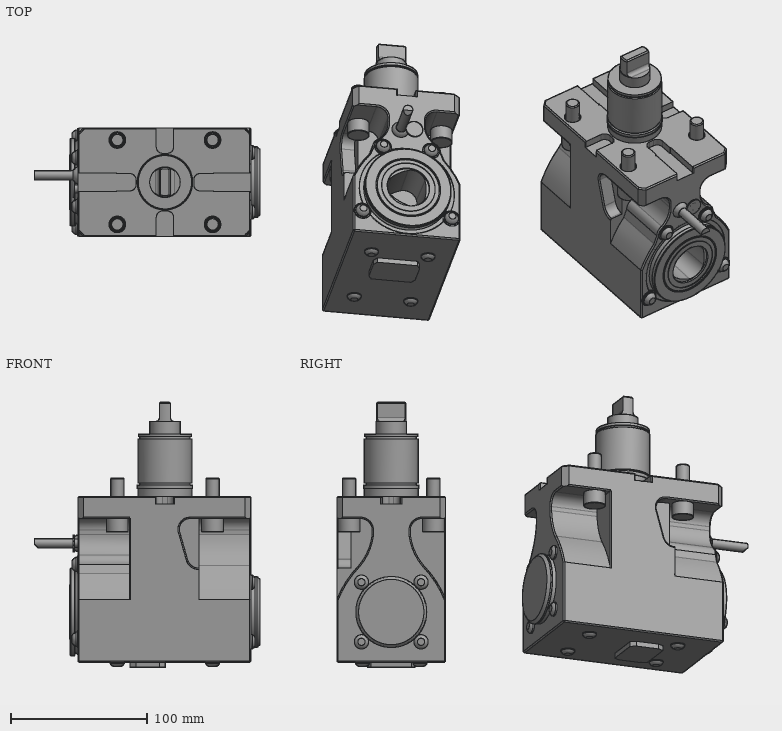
import cadquery as cq
import math

left_x = -64.0
right_x = 63.2
width_y = 80.0
half_y = width_y / 2
block_bottom_z = -122.0
flange_edge_z = -15.3
edge_chamfer = 1.0
flange_corner_chamfer = 4.3

pocket_mouth_x = 25.2
pocket_top_z = flange_edge_z - edge_chamfer
pocket_corner_radius = 8.6
neck_half_y = 14.0
neck_arc_start_z = -28.1
flank_start = (23.8, -50.8)
flank_middle = (33.0, -62.3)
flank_bottom_z = -75.8
neck_arc_middle = (17.3, -40.4)
left_neck_arc_middle = (15.9, -37.1)
left_flank_start = (28.0, -56.6)
left_flank_middle = (34.8, -65.7)

spindle_z = -85.0
cover_radius = 32.2
cover_back_radius = 29.8
cover_inner_x = -66.1
cover_outer_x = -69.6
cover_groove_radius = 35.5
cover_groove_depth = 1.0
cover_edge_chamfer = 0.5
ring_radius = 20.0
ring_outer_x = -70.2
seal_groove_outer_radius = 24.1
seal_groove_inner_radius = 23.2
seal_groove_depth = 0.5
mouth_diameter = 31.5
mouth_depth = 1.5
polygon_mean_radius = 14.6
polygon_lobe = 1.1
polygon_shrink = 1.0
polygon_depth = 30.0

button_diameter = 10.5
button_flat_diameter = 5.3
button_shoulder_width = 0.8
button_shoulder_rise = 0.6
cover_button_rim = 0.9
cover_button_dome = 3.1
cap_button_rim = 1.1
cap_button_dome = 2.0
bottom_button_rim = 0.8
bottom_button_dome = 2.3
washer_diameter = 12.5
washer_thickness = 0.4
cover_screws = [(17.9, -50.0), (33.2, -105.0)]
screw_relief_radius = 7.5
screw_relief_start_angle = 65

bolt_x = 35.0
bolt_y = 31.0
bolt_diameter = 10.0
bolt_top_z = 13.6
bolt_hole_diameter = 11.0
bolt_hole_mouth_diameter = 12.2
bolt_hole_depth = 2.5
bolt_head_diameter = 16.0
bolt_head_height = 10.0
bolt_chamfer = 0.8

slot_depth = 5.5
slot_start = 21.2
slot_end_flat = 3.4
slot_width = 12.8
slot_outer_width = 13.9
slot_flare = 0.8
side_slot_width = 12.6
slot_step_x = 35.6

shank_radius = 19.9
shank_collar_radius = 19.6
shank_groove_radius = 18.55
seal_radius = 20.4
seal_bottom_z = 5.6
seal_top_z = 8.2
shank_body_bottom_z = 9.7
shank_body_top_z = 42.3
shank_collar_bottom_z = 43.9
shank_root_depth = 1.0
shank_top_z = 45.8
neck_radius = 11.25
neck_top_z = 55.0
tang_radius = 10.85
tang_thickness = 8.2
tang_fillet = 3.0
tang_top_z = 69.3

cap_radius = 26.1
cap_base_radius = 25.5
cap_tip_radius = 24.0
cap_step_x = 66.3
cap_cone_x = 67.7
cap_outer_x = 70.0
cap_screw_offset = 21.9

tube_y = 5.0
tube_z = -34.5
tube_diameter = 7.0
tube_end_x = -96.0
tube_end_cut = 2.8
gland_diameter = 12.5
gland_outer_x = -67.5
gland_clearance = 0.3
gland_shoulder_length = 2.2
gland_shoulder_radius = 5.2
plug_stem_diameter = 6.2
plug_head_thickness = 1.0

plate_left_x = -25.7
plate_right_x = 0.3
plate_half_y = 17.3
plate_corner_x = 4.3
plate_corner_y = 2.3
plate_bottom_z = -125.7
bottom_screw_y = 21.1

recess_depth = 10.5
recess_bottom_z = -53.7
recess_upper_arc = [(18.3, flange_edge_z), (11.6, -18.6), (9.6, -25.5)]
recess_lower_arc = [(15.6, -46.5), (18.8, -51.6), (24.0, recess_bottom_z)]


def disc(radius, start_x, end_x, y=0.0, z=spindle_z):
    """Cylinder along X."""
    return (
        cq.Workplane("YZ", origin=(start_x, y, z))
        .circle(radius)
        .extrude(end_x - start_x)
    )


def button_head(base, direction, rim, dome):
    """Domed screw head standing on base and pointing along direction."""
    radius = button_diameter / 2
    flat = button_flat_diameter / 2
    height = rim + dome
    shoulder = (button_shoulder_width * radius, rim + button_shoulder_rise * dome)
    profile = (
        cq.Workplane("XZ")
        .moveTo(0, -edge_chamfer)
        .lineTo(radius, -edge_chamfer)
        .lineTo(radius, rim)
        .threePointArc(shoulder, (flat, height))
        .lineTo(0, height)
        .close()
    )
    head = profile.revolve(360, (0, 0, 0), (0, 1, 0)).val()
    plane = cq.Plane(origin=base, normal=direction)
    return cq.Workplane(obj=head.moved(cq.Location(plane)))


def has_recess(side_x, side_y):
    """The recessed pockets are front right and back left."""
    return side_x * side_y < 0


def pocket_wall_x(side_x, side_y):
    """A wall without a recess stands back by the bevel on its upright edge."""
    bevel = 0 if has_recess(side_x, side_y) else edge_chamfer
    return side_x * (pocket_mouth_x + bevel)


def pocket(side_x, side_y):
    """Pocket under the flange; the left one bulges around a cover screw."""
    bend = pocket_corner_radius * (1 - math.sqrt(0.5))
    outer_y = half_y + edge_chamfer
    flank_end = (side_y * half_y, flank_bottom_z)

    def mirrored(point):
        return (side_y * point[0], point[1])

    outline = (
        cq.Workplane("YZ")
        .moveTo(side_y * outer_y, pocket_top_z)
        .lineTo(side_y * (neck_half_y + pocket_corner_radius), pocket_top_z)
        .threePointArc(
            (side_y * (neck_half_y + bend), pocket_top_z - bend),
            (side_y * neck_half_y, pocket_top_z - pocket_corner_radius),
        )
        .lineTo(side_y * neck_half_y, neck_arc_start_z)
    )
    end_x = pocket_wall_x(side_x, side_y)
    if side_x < 0:
        screw_y, screw_z = cover_screws[0]

        def relief(angle):
            turn = math.radians(angle)
            relief_y = screw_y + screw_relief_radius * math.cos(turn)
            return (side_y * relief_y, screw_z + screw_relief_radius * math.sin(turn))

        outline = (
            outline.threePointArc(mirrored(left_neck_arc_middle), relief(screw_relief_start_angle))
            .threePointArc(relief(screw_relief_start_angle / 2), relief(0))
            .lineTo(*mirrored(left_flank_start))
            .threePointArc(mirrored(left_flank_middle), flank_end)
        )
        mouth_x = left_x
    else:
        outline = (
            outline.threePointArc(mirrored(neck_arc_middle), mirrored(flank_start))
            .threePointArc(mirrored(flank_middle), flank_end)
        )
        mouth_x = right_x
    outline = outline.lineTo(side_y * outer_y, flank_bottom_z).close()
    inward = math.copysign(edge_chamfer, end_x - mouth_x)
    body = outline.extrude(end_x - mouth_x)
    bevel = outline.toPending().offset2D(edge_chamfer).extrude(inward, taper=45)
    body = body.union(bevel)
    return body.translate((mouth_x, 0, 0))


def pocket_mouth_bevel(side_x, side_y):
    """Bevel along the pocket's top edge and, without a recess, its upright edge."""
    wall_x = pocket_wall_x(side_x, side_y)
    end_x = left_x if side_x < 0 else right_x
    face_y = side_y * half_y
    inset_y = side_y * (half_y - edge_chamfer)
    top = (
        cq.Workplane("YZ", origin=(wall_x, 0, 0))
        .moveTo(face_y, pocket_top_z)
        .lineTo(face_y, flange_edge_z)
        .lineTo(inset_y, pocket_top_z)
        .close()
        .extrude(end_x - wall_x)
    )
    if has_recess(side_x, side_y):
        return top
    upright = (
        cq.Workplane("XY", origin=(0, 0, flank_bottom_z))
        .moveTo(wall_x, face_y)
        .lineTo(wall_x - side_x * edge_chamfer, face_y)
        .lineTo(wall_x, inset_y)
        .close()
        .extrude(pocket_top_z - flank_bottom_z)
    )
    return upright.union(top)


def side_recess():
    """Bevelled wedge-shaped recess beside the right pocket of the front wall."""
    overlap_x = pocket_mouth_x + 2 * edge_chamfer
    mouth = (
        cq.Workplane("XZ", origin=(0, -half_y, 0))
        .moveTo(overlap_x, flange_edge_z)
        .lineTo(*recess_upper_arc[0])
        .threePointArc(*recess_upper_arc[1:])
        .lineTo(*recess_lower_arc[0])
        .threePointArc(*recess_lower_arc[1:])
        .lineTo(overlap_x, recess_bottom_z)
        .close()
    )
    bevel = mouth.extrude(-edge_chamfer, taper=45)
    return mouth.toPending().offset2D(-edge_chamfer).extrude(-recess_depth).union(bevel)


def flange_corner(x, y):
    """Triangular prism that bevels one upright corner of the flange."""
    return (
        cq.Workplane("XY", origin=(x, y, pocket_top_z))
        .lineTo(-math.copysign(flange_corner_chamfer, x), 0)
        .lineTo(0, -math.copysign(flange_corner_chamfer, y))
        .close()
        .extrude(-pocket_top_z)
    )


def housing():
    body = (
        cq.Workplane("XY", origin=((right_x + left_x) / 2, 0, block_bottom_z))
        .rect(right_x - left_x, width_y)
        .extrude(-block_bottom_z)
        .edges("|Z or <Z")
        .chamfer(edge_chamfer)
    )
    for y in (-half_y, half_y):
        for x in (left_x, right_x):
            body = body.cut(flange_corner(x, y))
    body = body.faces(">Z").edges().chamfer(edge_chamfer)
    for side_y in (-1, 1):
        for side_x in (-1, 1):
            body = body.cut(pocket(side_x, side_y))
            body = body.cut(pocket_mouth_bevel(side_x, side_y))
    recess = side_recess()
    opposite_recess = recess.rotate((0, 0, 0), (0, 0, 1), 180)
    return body.cut(recess).cut(opposite_recess)


def key_slot(angle):
    """Slot running outward from the shank, rounded at its inner end."""
    reach = right_x - left_x
    slot = (
        cq.Workplane("XY", origin=(slot_start + reach / 2, 0, -slot_depth))
        .rect(reach, slot_width)
        .extrude(slot_depth + edge_chamfer)
        .edges("|Z and <X")
        .fillet((slot_width - slot_end_flat) / 2)
    )
    return slot.rotate((0, 0, 0), (0, 0, 1), angle)


def slot_mouth(angle, start, end, width):
    """Parallel slot length whose outer end flares where it meets the side."""
    half_width = width / 2
    mouth = (
        cq.Workplane("XY", origin=(0, 0, -slot_depth))
        .moveTo(start, -half_width)
        .lineTo(end - slot_flare, -half_width)
        .lineTo(end, -half_width - slot_flare)
        .lineTo(end, half_width + slot_flare)
        .lineTo(end - slot_flare, half_width)
        .lineTo(start, half_width)
        .close()
        .extrude(slot_depth + edge_chamfer)
    )
    return mouth.rotate((0, 0, 0), (0, 0, 1), angle)


def cut_key_slots(body):
    ends = [(0, right_x), (180, -left_x), (90, half_y), (270, half_y)]
    for angle, end in ends:
        body = body.cut(key_slot(angle))
        if end > half_y:
            body = body.cut(slot_mouth(angle, slot_step_x, end, slot_outer_width))
        else:
            body = body.cut(slot_mouth(angle, end - 2 * slot_flare, end, side_slot_width))
    return body


def add_clamping_bolts(body):
    hole_chamfer = (bolt_hole_mouth_diameter - bolt_hole_diameter) / 2
    hole = (
        cq.Workplane("XY", origin=(0, 0, -bolt_hole_depth))
        .circle(bolt_hole_diameter / 2)
        .extrude(bolt_hole_depth)
    )
    hole_mouth = (
        cq.Workplane("XY")
        .circle(bolt_hole_mouth_diameter / 2)
        .workplane(offset=-hole_chamfer)
        .circle(bolt_hole_diameter / 2)
        .loft()
    )
    shaft = (
        cq.Workplane("XY", origin=(0, 0, pocket_top_z))
        .circle(bolt_diameter / 2)
        .extrude(bolt_top_z - pocket_top_z)
        .faces(">Z")
        .chamfer(bolt_chamfer)
    )
    head = (
        cq.Workplane("XY", origin=(0, 0, pocket_top_z - bolt_head_height))
        .circle(bolt_head_diameter / 2)
        .extrude(bolt_head_height)
        .faces("<Z")
        .chamfer(bolt_chamfer / 2)
    )
    for x in (-bolt_x, bolt_x):
        for y in (-bolt_y, bolt_y):
            place = (x, y, 0)
            body = body.cut(hole.union(hole_mouth).translate(place))
            body = body.union(shaft.union(head).translate(place))
    return body


def shank():
    """Stepped shank with a seal ring, a groove and a flat drive tang."""
    steps = [
        (shank_radius, seal_bottom_z),
        (seal_radius, seal_top_z),
        (shank_groove_radius, shank_body_bottom_z),
        (shank_radius, shank_body_top_z),
        (shank_groove_radius, shank_collar_bottom_z),
        (shank_collar_radius, shank_top_z),
        (neck_radius, neck_top_z),
    ]
    body = None
    bottom_z = -shank_root_depth
    for radius, top_z in steps:
        step = cq.Workplane("XY", origin=(0, 0, bottom_z)).circle(radius).extrude(top_z - bottom_z)
        body = step if body is None else body.union(step)
        bottom_z = top_z
    return body.union(drive_tang())


def drive_tang():
    half = tang_thickness / 2
    bend = tang_fillet * (1 - math.sqrt(0.5))
    flank_z = neck_top_z + tang_fillet
    profile = (
        cq.Workplane("XZ", origin=(0, tang_radius, 0))
        .moveTo(-half - tang_fillet, neck_top_z)
        .threePointArc((-half - bend, neck_top_z + bend), (-half, flank_z))
        .lineTo(-half, tang_top_z)
        .lineTo(half, tang_top_z)
        .lineTo(half, flank_z)
        .threePointArc((half + bend, neck_top_z + bend), (half + tang_fillet, neck_top_z))
        .close()
        .extrude(2 * tang_radius)
    )
    envelope = (
        cq.Workplane("XY", origin=(0, 0, neck_top_z))
        .circle(tang_radius)
        .extrude(tang_top_z - neck_top_z)
    )
    return profile.intersect(envelope).faces(">Z").chamfer(edge_chamfer)


def add_spindle_cover(body):
    groove = disc(cover_groove_radius, left_x, left_x + cover_groove_depth)
    taper = (
        cq.Workplane("YZ", origin=(left_x + cover_groove_depth, 0, spindle_z))
        .circle(cover_radius)
        .workplane(offset=cover_inner_x - left_x - cover_groove_depth)
        .circle(cover_back_radius)
        .loft()
    )
    cover = disc(cover_radius, cover_inner_x, cover_outer_x).edges().chamfer(cover_edge_chamfer)
    cover = cover.union(taper)
    seal_groove = disc(seal_groove_outer_radius, cover_outer_x, cover_outer_x + seal_groove_depth)
    seal_groove = seal_groove.cut(
        disc(seal_groove_inner_radius, cover_outer_x, cover_outer_x + seal_groove_depth)
    )
    ring = disc(ring_radius, cover_outer_x, ring_outer_x)
    body = body.cut(groove).union(cover).cut(seal_groove).union(ring)
    for side_y in (-1, 1):
        for y, z in cover_screws:
            seat_x = left_x - washer_thickness
            washer = disc(washer_diameter / 2, left_x + edge_chamfer, seat_x, side_y * y, z)
            seat = (seat_x, side_y * y, z)
            head = button_head(seat, (-1, 0, 0), cover_button_rim, cover_button_dome)
            body = body.union(washer).union(head)
    return body


def cut_tool_bore(body):
    """Round mouth followed by a tapered three-lobed bore."""
    mouth_end_x = ring_outer_x + mouth_depth
    taper = cq.Workplane("YZ", origin=(mouth_end_x, 0, spindle_z))
    taper = lobed_outline(taper, polygon_mean_radius)
    taper = taper.workplane(offset=polygon_depth)
    taper = lobed_outline(taper, polygon_mean_radius - polygon_shrink).loft()
    mouth = disc(mouth_diameter / 2, ring_outer_x, mouth_end_x)
    return body.cut(mouth).cut(taper)


def lobed_outline(plane, mean_radius):
    """Closed outline of three lobes and three flanks, each one arc."""

    def point(degrees):
        angle = math.radians(degrees)
        radius = mean_radius + polygon_lobe * math.cos(3 * angle)
        return (radius * math.cos(angle), radius * math.sin(angle))

    outline = plane.moveTo(*point(-30))
    for start in range(-30, 330, 60):
        outline = outline.threePointArc(point(start + 30), point(start + 60))
    return outline.close()


def add_end_cap(body):
    cone = (
        cq.Workplane("YZ", origin=(cap_cone_x, 0, spindle_z))
        .circle(cap_radius)
        .workplane(offset=cap_outer_x - cap_cone_x)
        .circle(cap_tip_radius)
        .loft()
    )
    body = body.union(disc(cap_base_radius, right_x - edge_chamfer, cap_step_x))
    body = body.union(disc(cap_radius, cap_step_x, cap_cone_x)).union(cone)
    for y in (-cap_screw_offset, cap_screw_offset):
        for rise in (-cap_screw_offset, cap_screw_offset):
            base = (right_x, y, spindle_z + rise)
            body = body.union(button_head(base, (1, 0, 0), cap_button_rim, cap_button_dome))
    return body


def add_coolant_fittings(body):
    tube = disc(tube_diameter / 2, left_x, tube_end_x, tube_y, tube_z)
    tube_bottom_z = tube_z - tube_diameter / 2
    end_cut = (
        cq.Workplane("XZ", origin=(0, tube_y + tube_diameter, 0))
        .moveTo(tube_end_x, tube_bottom_z)
        .lineTo(tube_end_x + tube_end_cut, tube_bottom_z)
        .lineTo(tube_end_x, tube_bottom_z + tube_end_cut)
        .close()
        .extrude(2 * tube_diameter)
    )
    gland_radius = gland_diameter / 2
    gland_tip_radius = tube_diameter / 2 + gland_clearance
    gland_height = left_x - gland_outer_x
    gland = (
        cq.Workplane("XY")
        .lineTo(0, gland_radius)
        .threePointArc(
            (-gland_shoulder_length, gland_shoulder_radius),
            (-gland_height, gland_tip_radius),
        )
        .lineTo(-gland_height, 0)
        .close()
        .revolve(360, (0, 0, 0), (1, 0, 0))
        .translate((left_x, tube_y, tube_z))
    )
    plug_inner_x = gland_outer_x + plug_head_thickness
    stem = disc(plug_stem_diameter / 2, left_x, plug_inner_x, -tube_y, tube_z)
    plug_head = disc(gland_radius, plug_inner_x, gland_outer_x, -tube_y, tube_z)
    return body.union(tube.cut(end_cut)).union(gland).union(stem).union(plug_head)


def add_bottom_parts(body):
    plate_inner_y = plate_half_y - plate_corner_y
    outline = [
        (plate_left_x + plate_corner_x, -plate_half_y),
        (plate_right_x - plate_corner_x, -plate_half_y),
        (plate_right_x, -plate_inner_y),
        (plate_right_x, plate_inner_y),
        (plate_right_x - plate_corner_x, plate_half_y),
        (plate_left_x + plate_corner_x, plate_half_y),
        (plate_left_x, plate_inner_y),
        (plate_left_x, -plate_inner_y),
    ]
    plate = (
        cq.Workplane("XY", origin=(0, 0, plate_bottom_z))
        .polyline(outline)
        .close()
        .extrude(block_bottom_z - plate_bottom_z)
    )
    body = body.union(plate)
    for x in (-bolt_x, bolt_x):
        for y in (-bottom_screw_y, bottom_screw_y):
            base = (x, y, block_bottom_z)
            body = body.union(button_head(base, (0, 0, -1), bottom_button_rim, bottom_button_dome))
    return body


result = cut_key_slots(housing())
result = add_clamping_bolts(result)
result = result.union(shank())
result = add_spindle_cover(result)
result = cut_tool_bore(result)
result = add_end_cap(result)
result = add_coolant_fittings(result)
result = add_bottom_parts(result)